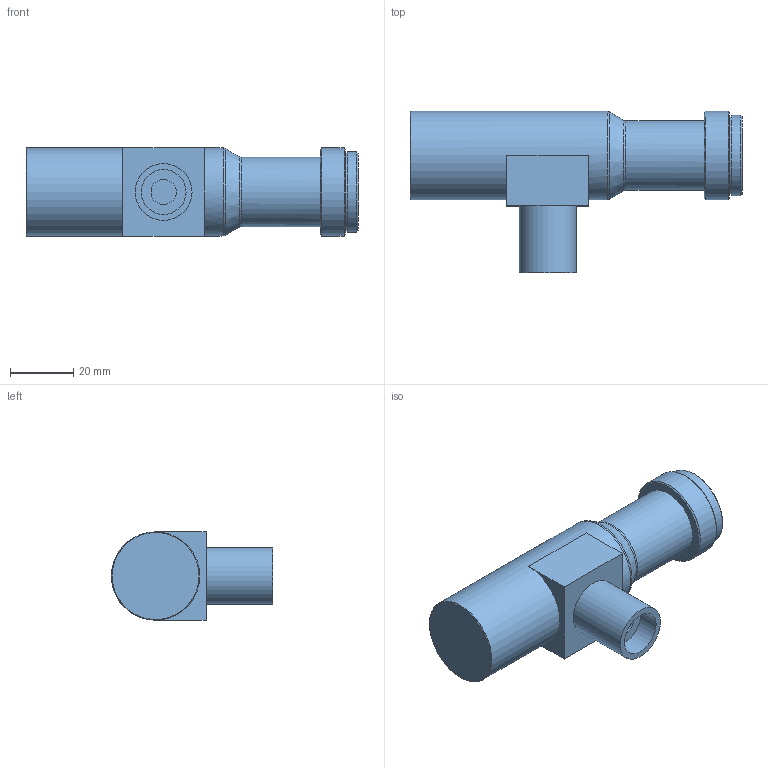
import cadquery as cq
import math

total_length = 105.3
body_radius = 14.0
end_chamfer = 0.2

taper_start = 62.9
taper_angle = 30.0
taper_blend_radius = 1.5
neck_radius = 11.0
taper_length = (body_radius - neck_radius) / math.tan(math.radians(taper_angle))

collar_start = 93.3
collar_width = 8.0
collar_chamfer = 0.4
groove_width = 0.6
groove_radius = 12.3
ring_radius = 12.75
ring_chamfer = 0.4

block_width = 26.0
block_depth = 16.0
branch_x = 43.65
branch_end = 37.1
branch_radius = 9.0

bore_radius = 7.1
bore_depth = 7.0
inner_bore_radius = 4.0
inner_bore_depth = branch_end - block_depth


def disc(start, end, radius):
    """Cylinder on the X axis between two X positions."""
    return cq.Workplane("YZ", origin=(start, 0, 0)).circle(radius).extrude(end - start)


def make_tapered_body():
    """Closed cylinder that tapers to the neck, with blended taper ends."""
    outline = [
        (0, 0),
        (0, body_radius),
        (taper_start, body_radius),
        (taper_start + taper_length, neck_radius),
        (collar_start, neck_radius),
        (collar_start, 0),
    ]
    body = cq.Workplane("XY").polyline(outline).close().revolve(360, (0, 0, 0), (1, 0, 0))
    margin = taper_blend_radius
    taper_zone = cq.selectors.BoxSelector(
        (taper_start - margin, -body_radius, -body_radius),
        (taper_start + taper_length + margin, body_radius, body_radius),
    )
    taper_ends = cq.selectors.AndSelector(taper_zone, cq.selectors.TypeSelector("CIRCLE"))
    body = body.edges(taper_ends).fillet(taper_blend_radius)
    return body.faces("<X").chamfer(end_chamfer)


def make_end_fitting():
    """Collar, relief groove and end ring."""
    collar_end = collar_start + collar_width
    groove_end = collar_end + groove_width
    collar = disc(collar_start, collar_end, body_radius).edges().chamfer(collar_chamfer)
    groove = disc(collar_end, groove_end, groove_radius)
    ring = disc(groove_end, total_length, ring_radius).faces(">X").chamfer(ring_chamfer)
    return collar.union(groove).union(ring)


def make_side_block():
    """Block from the body axis outward, as tall as the body."""
    return cq.Workplane("XY").box(
        block_width, block_depth, 2 * body_radius
    ).translate((branch_x, -block_depth / 2, 0))


def branch_cylinder(radius, length):
    """Cylinder reaching inward from the open end of the branch."""
    return cq.Workplane("XZ", origin=(branch_x, -branch_end, 0)).circle(radius).extrude(-length)


branch = branch_cylinder(branch_radius, branch_end - block_depth)
bore = branch_cylinder(bore_radius, bore_depth)
inner_bore = branch_cylinder(inner_bore_radius, inner_bore_depth)

result = (
    make_tapered_body()
    .union(make_end_fitting())
    .union(make_side_block())
    .union(branch)
    .cut(bore)
    .cut(inner_bore)
)